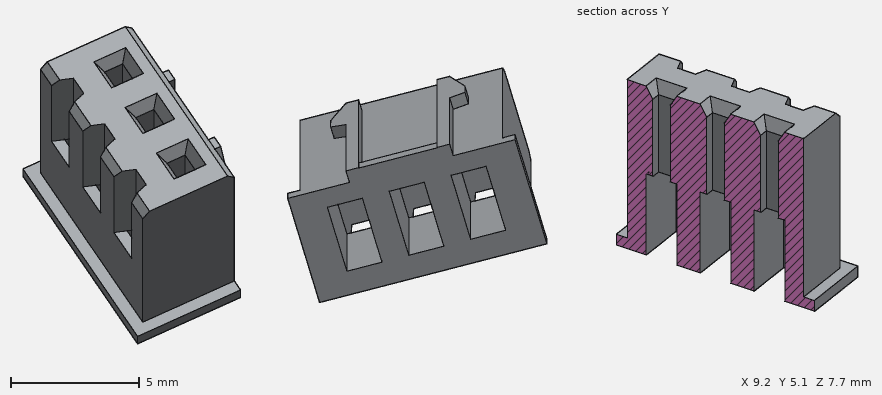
import cadquery as cq

flange_width = 9.2
flange_depth = 4.59
flange_height = 0.51
flange_lip = 0.51
body_width = 8.21
body_height = 7.7
chamfer_size = 0.3

flange_front = -flange_depth
body_front = flange_front + flange_lip

contact_count = 3
contact_pitch = 2.5
contact_y = -1.49
contact_xs = [(i - (contact_count - 1) / 2) * contact_pitch for i in range(contact_count)]

entry_size = 1.42
entry_throat = 0.8
entry_depth = 0.51
front_wall = 0.49
cavity_rear = contact_y + entry_size / 2

groove_mouth = 1.42
groove_back = 0.83
groove_depth = 0.81
groove_floor = 3.68

latch_depth = 0.51
latch_height = 6.7
arm_inner_x = 1.58
arm_outer_x = 2.1
hook_outer_x = 2.71
hook_shoulder_z = 5.345
hook_lower_z = 4.72
hook_root_z = 4.57
bar_depth = 0.49


def corner_box(x_size, y_start, y_end, z_start, z_end):
    """Box centred on X between the given Y and Z limits."""
    return (
        cq.Workplane("XY", origin=(0, y_start, z_start))
        .box(x_size, y_end - y_start, z_end - z_start, centered=(True, False, False))
    )


def make_housing():
    flange = corner_box(flange_width, flange_front, 0, 0, flange_height)
    body = corner_box(body_width, body_front, 0, 0, body_height)
    body = body.faces(">Z").edges("|X").chamfer(chamfer_size)
    return flange.union(body)


def make_contact_entry():
    """Square funnel leading down through a straight throat."""
    funnel = (
        cq.Workplane("XY", origin=(0, contact_y, body_height))
        .rect(entry_size, entry_size)
        .workplane(offset=-entry_depth)
        .rect(entry_throat, entry_throat)
        .loft(ruled=True)
    )
    throat_half = entry_throat / 2
    throat = corner_box(
        entry_throat, contact_y - throat_half, contact_y + throat_half, 0, body_height - entry_depth
    )
    return funnel.union(throat)


def make_contact_cavity():
    return corner_box(entry_size, body_front + front_wall, cavity_rear, 0, groove_floor)


def make_front_groove():
    back_y = body_front + groove_depth
    outline = [
        (-groove_mouth / 2, body_front),
        (groove_mouth / 2, body_front),
        (groove_back / 2, back_y),
        (-groove_back / 2, back_y),
    ]
    return (
        cq.Workplane("XY", origin=(0, 0, groove_floor))
        .polyline(outline)
        .close()
        .extrude(body_height - groove_floor)
    )


def make_latch_arm():
    """Upright arm on the +X side with an outward hook."""
    outline = [
        (arm_inner_x, 0),
        (arm_outer_x, 0),
        (arm_outer_x, hook_root_z),
        (hook_outer_x, hook_lower_z),
        (hook_outer_x, hook_shoulder_z),
        (arm_outer_x, latch_height),
        (arm_inner_x, latch_height),
    ]
    return cq.Workplane("XZ").polyline(outline).close().extrude(-latch_depth)


housing = make_housing()
for contact_x in contact_xs:
    for cutter in (make_contact_entry(), make_contact_cavity(), make_front_groove()):
        housing = housing.cut(cutter.translate((contact_x, 0, 0)))

latch_arm = make_latch_arm()
foot_bar = corner_box(2 * arm_inner_x, 0, bar_depth, 0, flange_height)
result = housing.union(latch_arm).union(latch_arm.mirror("YZ")).union(foot_bar)